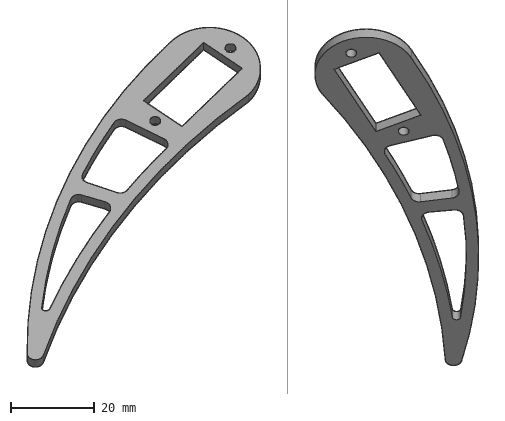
import cadquery as cq
import math

thickness = 3.0
head_radius = 12.2
tip_radius = 2.0
tip_center = (22.2, -92.1)
tip_left_direction = 220
tip_bottom_direction = 270
tip_right_direction = 383

outer_edge_radius = 138.7
inner_edge_radius = 165.4

opening_width = 12.0
opening_length = 22.5
opening_center_y = -6.3
hole_diameter = 2.5
hole_spacing = 28.3

window_margin = 3.0
corner_radius = 2.0
point_radius = 1.0
upper_window_top = (-23.9, 0.15)
upper_window_bottom = (-44.8, 0.31)
lower_window_top = (-48.9, 0.36)
lower_window_bottom = (tip_center[1] - tip_radius, 0)


def arc_center(start, end, radius):
    """Centre, on the +X side, of the arc from start to end."""
    dx, dy = end[0] - start[0], end[1] - start[1]
    chord = math.hypot(dx, dy)
    rise = math.sqrt(radius**2 - (chord / 2) ** 2)
    middle = ((start[0] + end[0]) / 2, (start[1] + end[1]) / 2)
    return (middle[0] - dy / chord * rise, middle[1] + dx / chord * rise)


def point_at(center, radius, degrees):
    angle = math.radians(degrees)
    return (center[0] + radius * math.cos(angle), center[1] + radius * math.sin(angle))


def edge_arc_middle(start, end, radius):
    """Point halfway along a long edge, on its -X side."""
    center = arc_center(start, end, radius)
    angle = math.atan2((start[1] + end[1]) / 2 - center[1], (start[0] + end[0]) / 2 - center[0])
    return point_at(center, radius, math.degrees(angle))


def blade_outline():
    head_left = (-head_radius, 0)
    head_right = (head_radius, 0)
    tip_left = point_at(tip_center, tip_radius, tip_left_direction)
    tip_bottom = point_at(tip_center, tip_radius, tip_bottom_direction)
    tip_right = point_at(tip_center, tip_radius, tip_right_direction)
    return (
        cq.Workplane("XY")
        .moveTo(*head_left)
        .threePointArc((0, head_radius), head_right)
        .threePointArc(edge_arc_middle(head_right, tip_right, inner_edge_radius), tip_right)
        .threePointArc(tip_bottom, tip_left)
        .threePointArc(edge_arc_middle(head_left, tip_left, outer_edge_radius), head_left)
        .close()
    )


def window(top, bottom):
    """Part of the inset blade between two sloped end lines."""
    reach = 2 * head_radius

    def end_point(line, x):
        return (x, line[0] + line[1] * x)

    band = (
        cq.Workplane("XY")
        .polyline([
            end_point(top, -reach),
            end_point(top, reach),
            end_point(bottom, reach),
            end_point(bottom, -reach),
        ])
        .close()
        .extrude(thickness)
    )
    return blade_outline().offset2D(-window_margin).extrude(thickness).intersect(band)


plate = blade_outline().extrude(thickness)

opening = (
    cq.Workplane("XY")
    .center(0, opening_center_y)
    .rect(opening_width, opening_length)
    .extrude(thickness)
)
screw_holes = (
    cq.Workplane("XY")
    .center(0, opening_center_y)
    .pushPoints([(0, -hole_spacing / 2), (0, hole_spacing / 2)])
    .circle(hole_diameter / 2)
    .extrude(thickness)
)
upper_window = window(upper_window_top, upper_window_bottom).edges("|Z").fillet(corner_radius)
lower_window = (
    window(lower_window_top, lower_window_bottom)
    .edges("|Z").edges(">Y or <X").fillet(corner_radius)
    .edges("|Z").edges("<Y").fillet(point_radius)
)

result = plate.cut(opening).cut(screw_holes).cut(upper_window).cut(lower_window)